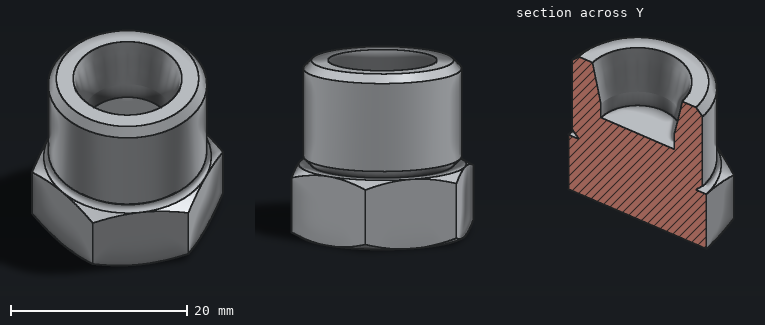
import cadquery as cq
import math

corner_diameter = 21.95
flats_width = corner_diameter * math.cos(math.pi / 6)
head_height = 8.0
head_chamfer_angle = math.radians(30)

total_height = 20.0
shank_radius = 18.0 / 2
end_chamfer = 0.92
neck_radius = 8.1
neck_height = 0.92

mouth_radius = 12.33 / 2
bore_radius = 10.0 / 2
taper_half_angle = math.radians(12)
straight_depth = 2.0


def revolve_profile(points):
    """Turn a closed (radius, height) outline about the Z axis."""
    return cq.Workplane("XZ").polyline(points).close().revolve(360, (0, 0), (0, 1))


def make_head():
    """Hexagon with corners on Y, its corners turned to a cone at both ends."""
    prism = (
        cq.Workplane("XY")
        .polygon(6, corner_diameter)
        .extrude(head_height)
        .rotate((0, 0, 0), (0, 0, 1), 90)
    )
    flat_radius = flats_width / 2
    corner_radius = corner_diameter / 2
    chamfer_height = (corner_radius - flat_radius) * math.tan(head_chamfer_angle)
    envelope = revolve_profile([
        (0, 0),
        (flat_radius, 0),
        (corner_radius, chamfer_height),
        (corner_radius, head_height - chamfer_height),
        (flat_radius, head_height),
        (0, head_height),
    ])
    return prism.intersect(envelope)


def make_shank():
    """Cylinder with a chamfered top end, tapering in to a neck at the head."""
    return revolve_profile([
        (0, head_height),
        (neck_radius, head_height),
        (shank_radius, head_height + neck_height),
        (shank_radius, total_height - end_chamfer),
        (shank_radius - end_chamfer, total_height),
        (0, total_height),
    ])


def make_bore():
    """Tapered seat open at the top, ending in a flat-bottomed hole."""
    taper_depth = (mouth_radius - bore_radius) / math.tan(taper_half_angle)
    taper_bottom = total_height - taper_depth
    floor = taper_bottom - straight_depth
    return revolve_profile([
        (0, floor),
        (bore_radius, floor),
        (bore_radius, taper_bottom),
        (mouth_radius, total_height),
        (0, total_height),
    ])


result = make_head().union(make_shank()).cut(make_bore())